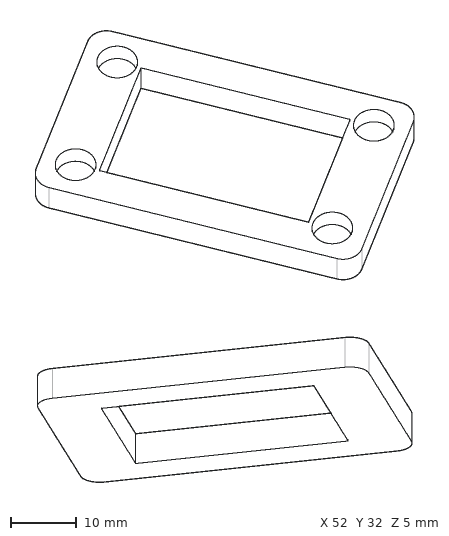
import cadquery as cq

length = 52.0
width = 32.0
thickness = 5.0
corner_radius = 3.0

window_length = 33.4
window_width = 21.0

pocket_diameter = 6.2
pocket_depth = 3.0
pocket_spacing_x = 41.0
pocket_spacing_y = 21.0

frame = (
    cq.Workplane("XY")
    .box(length, width, thickness, centered=(True, True, False))
    .edges("|Z")
    .fillet(corner_radius)
)

frame = frame.faces(">Z").workplane().rect(window_length, window_width).cutThruAll()

result = (
    frame.faces(">Z")
    .workplane(origin=(0, 0, thickness))
    .rect(pocket_spacing_x, pocket_spacing_y, forConstruction=True)
    .vertices()
    .hole(pocket_diameter, pocket_depth)
)